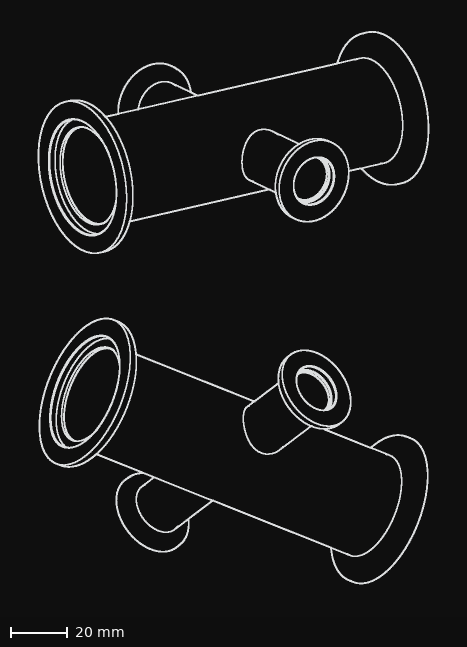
import cadquery as cq
import math

run_length = 130.0
branch_length = 100.0

run_outer_radius = 38.1 / 2
run_bore_radius = 34.8 / 2
branch_outer_radius = 19.1 / 2
branch_bore_radius = 15.9 / 2

run_flange_radius = 54.9 / 2
run_recess_radius = 41.6 / 2
branch_flange_radius = 30.0 / 2
branch_recess_radius = 17.2 / 2
rim_thickness = 3.1
rim_fillet = 1.7
recess_depth = 2.6
cone_angle = 15.0
bore_clearance = 0.2
socket_lip = 1.0
mouth_chamfer = 0.3


def hub_thickness(flange_radius, tube_radius):
    """Axial length of a flange, from its sealing face to the small end of its cone."""
    cone_width = flange_radius - tube_radius
    return rim_thickness + cone_width * math.tan(math.radians(cone_angle))


def make_flange(flange_radius, recess_radius, tube_radius, tube_bore_radius):
    """Clamp flange about Z, with its sealing face at Z = 0 and its hub toward +Z."""
    socket_depth = recess_depth + socket_lip
    bore_radius = tube_bore_radius + bore_clearance
    thickness = hub_thickness(flange_radius, tube_radius)
    profile = [
        (recess_radius, mouth_chamfer),
        (recess_radius + mouth_chamfer, 0),
        (flange_radius, 0),
        (flange_radius, rim_thickness),
        (tube_radius, thickness),
        (tube_radius, socket_depth),
        (bore_radius, socket_depth),
        (bore_radius, recess_depth),
        (recess_radius, recess_depth),
    ]
    flange = cq.Workplane("XZ").polyline(profile).close().revolve(360, (0, 0, 0), (0, 1, 0))
    rim_edge = cq.NearestToPointSelector((0, 0, rim_thickness))
    return flange.edges("%CIRCLE").edges(rim_edge).fillet(rim_fillet)


def cylinder_between_ends(plane, radius, length):
    """Cylinder centred on the origin, along the normal of the plane."""
    return cq.Workplane(plane).circle(radius).extrude(length / 2, both=True)


def make_tube_cross():
    """Main tube and branch tubes as one piece, its ends seated in the flange sockets."""
    socket_depth = recess_depth + socket_lip
    run_tube_length = run_length - 2 * socket_depth
    branch_tube_length = branch_length - 2 * socket_depth
    outside = cylinder_between_ends("XZ", run_outer_radius, run_tube_length).union(
        cylinder_between_ends("YZ", branch_outer_radius, branch_tube_length)
    )
    return outside.cut(cylinder_between_ends("XZ", run_bore_radius, run_tube_length)).cut(
        cylinder_between_ends("YZ", branch_bore_radius, branch_tube_length)
    )


def make_run_flange(side):
    """Large flange on the -Y (side = -1) or +Y (side = 1) end of the main tube."""
    flange = make_flange(run_flange_radius, run_recess_radius, run_outer_radius, run_bore_radius)
    return flange.rotate((0, 0, 0), (1, 0, 0), side * 90).translate((0, side * run_length / 2, 0))


def make_branch_flange(side):
    """Small flange on the -X (side = -1) or +X (side = 1) end of the branch tubes."""
    flange = make_flange(
        branch_flange_radius, branch_recess_radius, branch_outer_radius, branch_bore_radius
    )
    return flange.rotate((0, 0, 0), (0, 1, 0), -side * 90).translate((side * branch_length / 2, 0, 0))


tube_cross = make_tube_cross()
run_flanges = [make_run_flange(side) for side in (-1, 1)]
branch_flanges = [make_branch_flange(side) for side in (-1, 1)]

result = cq.Compound.makeCompound(
    [
        tube_cross.val(),
        *[flange.val() for flange in run_flanges],
        *[flange.val() for flange in branch_flanges],
    ]
)